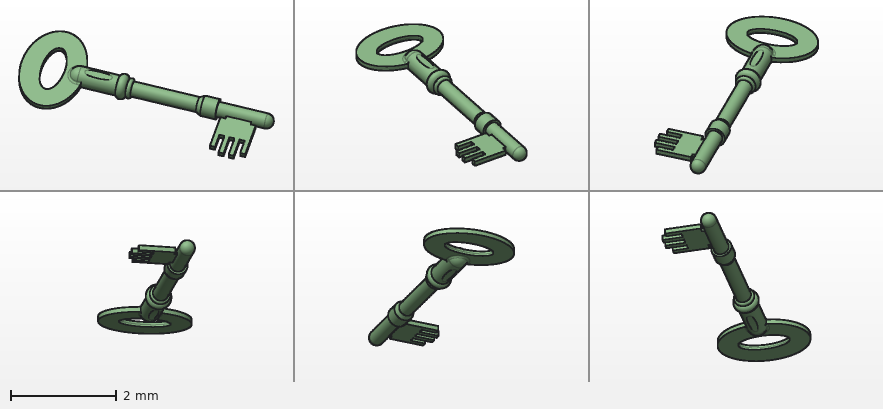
import cadquery as cq
import math


plate_thickness = 0.1
bow_semi_x = 0.625
bow_semi_y = 0.9
bow_rim_width = 0.4

barrel_radius = 0.2
dome_center_x = 0.525
bow_fillet_radius = 0.05

scallop_center_x = 0.895
scallop_length = 0.54
scallop_depth = 0.016
scallop_axis_height = 0.008

shank_radius = 0.15
large_bead_x = 1.375
large_bead_radius = 0.1
small_bead_radius = 0.05
small_bead_x = large_bead_x + large_bead_radius + small_bead_radius
tip_x = 4.375

collar_radius = 0.2
shoulder_length = 0.1
collar_start_x = 2.875
collar_end_x = 3.27

bit_start_x = 3.375
tooth_width = 0.1
tooth_count = 4
bit_width = (2 * tooth_count - 1) * tooth_width
neck_length_y = 0.2
slot_root_y = 0.6
outer_tooth_y = 0.9
inner_tooth_y = 1.0


def rod(start_x, end_x, radius):
    return cq.Workplane("YZ", origin=(start_x, 0, 0)).circle(radius).extrude(end_x - start_x)


def ball(center_x, radius):
    return cq.Workplane("XY").sphere(radius).translate((center_x, 0, 0))


def plate_block(start_x, end_x, start_y, end_y):
    return (
        cq.Workplane("XY")
        .box(end_x - start_x, end_y - start_y, plate_thickness, centered=(False, False, True))
        .translate((start_x, start_y, 0))
    )


def bow_outline(height):
    return cq.Workplane("XY").ellipse(bow_semi_x, bow_semi_y).extrude(height).translate((0, 0, -height / 2))


def make_bow():
    opening = (
        cq.Workplane("XY")
        .ellipse(bow_semi_x - bow_rim_width, bow_semi_y - bow_rim_width)
        .extrude(plate_thickness, both=True)
    )
    return bow_outline(plate_thickness).cut(opening)


def make_bead(center_x, radius):
    """Ring of round section whose section is centered on the shank surface."""
    return (
        cq.Workplane("XY")
        .center(center_x, shank_radius)
        .circle(radius)
        .revolve(360, (0, -shank_radius), (1, -shank_radius))
    )


def make_collar():
    """Cylindrical collar with a conical shoulder rising from the shank."""
    return (
        cq.Workplane("XY")
        .moveTo(collar_start_x, 0)
        .lineTo(collar_start_x, shank_radius)
        .lineTo(collar_start_x + shoulder_length, collar_radius)
        .lineTo(collar_end_x, collar_radius)
        .lineTo(collar_end_x, 0)
        .close()
        .revolve(360, (0, 0), (1, 0))
    )


def make_scallop_cutter():
    """Elliptic cylinder along Y that dips into the upper side of the barrel."""
    semi_z = scallop_depth + scallop_axis_height
    semi_x = scallop_length / 2 / math.sqrt(1 - (scallop_axis_height / semi_z) ** 2)
    return (
        cq.Workplane("XZ", origin=(scallop_center_x, barrel_radius, barrel_radius + scallop_axis_height))
        .ellipse(semi_x, semi_z)
        .extrude(2 * barrel_radius)
    )


def fillet_section(plane):
    """Upper half-section of the barrel widened by the fillet down to the bow face."""
    face_z = plate_thickness / 2
    arc_z = face_z + bow_fillet_radius
    arc_distance = barrel_radius + bow_fillet_radius
    foot = math.sqrt(arc_distance**2 - arc_z**2)
    contact_ratio = barrel_radius / arc_distance
    contact = (foot * contact_ratio, arc_z * contact_ratio)
    return (
        cq.Workplane(plane)
        .moveTo(0, 0)
        .lineTo(foot, 0)
        .lineTo(foot, face_z)
        .radiusArc(contact, bow_fillet_radius)
        .lineTo(0, contact[1])
        .close()
    )


def make_bow_fillet():
    """Fillet round the dome and along both barrel flanks, ending at the bow rim."""
    around_dome = fillet_section("XZ").revolve(360, (0, 0), (0, 1))
    flank = fillet_section("YZ").extrude(bow_semi_x - dome_center_x)
    upper = around_dome.union(flank).union(flank.mirror("XZ")).translate((dome_center_x, 0, 0))
    return upper.union(upper.mirror("XY")).intersect(bow_outline(2 * barrel_radius))


def make_bit():
    bit_end_x = bit_start_x + bit_width
    bit = plate_block(bit_start_x + tooth_width, bit_end_x - tooth_width, -neck_length_y, 0)
    bit = bit.union(plate_block(bit_start_x, bit_end_x, -slot_root_y, -neck_length_y))
    for index in range(tooth_count):
        start_x = bit_start_x + 2 * index * tooth_width
        is_outer = index in (0, tooth_count - 1)
        reach_y = outer_tooth_y if is_outer else inner_tooth_y
        bit = bit.union(plate_block(start_x, start_x + tooth_width, -reach_y, -slot_root_y))
    return bit


def make_barrel():
    barrel = rod(dome_center_x, large_bead_x, barrel_radius).union(ball(dome_center_x, barrel_radius))
    cutter = make_scallop_cutter()
    return barrel.cut(cutter).cut(cutter.mirror("XY"))


def make_shank():
    round_end_x = tip_x - shank_radius
    shank = rod(large_bead_x, round_end_x, shank_radius).union(ball(round_end_x, shank_radius))
    shank = shank.union(make_bead(small_bead_x, small_bead_radius))
    shank = shank.union(make_bead(large_bead_x, large_bead_radius))
    return shank.union(make_collar())


result = make_barrel().union(make_shank()).union(make_bow()).union(make_bow_fillet()).union(make_bit())